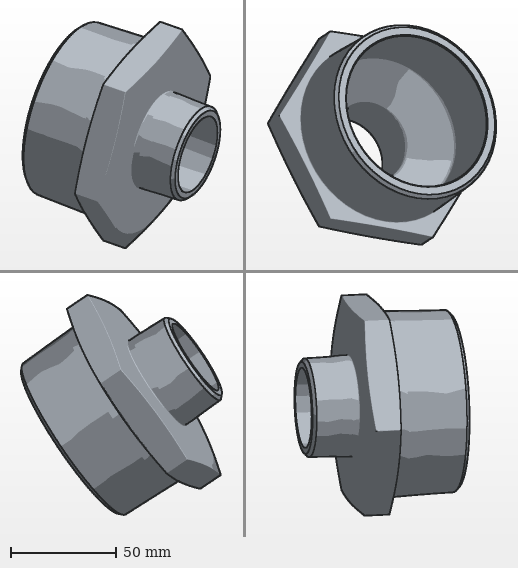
import cadquery as cq
import math


LENGTH = 72.0
HEX_START = 34.5
HEX_END = 49.4
BIG_TAPER_END = 30.0
SMALL_TAPER_START = 53.0

HEX_SIDES = 6
ACROSS_FLATS = 95.0
HEX_FACE_RADIUS = 46.9
HEX_BEVEL_ANGLE = 10
HEX_CORNER_FILLET = 0.4
HEX_BEVEL_FILLET = 0.3

BIG_RADIUS = 88.5 / 2
BIG_TIP_RADIUS = 43.4
SMALL_RADIUS = 48.2 / 2
SMALL_TIP_RADIUS = 23.5
TIP_CHAMFER = 1.6
ROOT_FILLET = 0.5

WIDE_BORE_RADIUS = 75.0 / 2
NARROW_BORE_RADIUS = 38.0 / 2
WIDE_BORE_DEPTH = 32.6
CONE_ANGLE = 51
BORE_FILLET = 2.2
BORE_ENTRY_CHAMFER = 0.4


def revolve_about_x(outline):
    """Turn an (x, radius) outline a full revolution about the X axis."""
    return outline.close().revolve(360, (0, 0, 0), (1, 0, 0))


def make_spigots():
    """Both tapered spigots as one body that passes through the hexagon."""
    middle = (HEX_START + HEX_END) / 2
    outline = (
        cq.Workplane("XY")
        .lineTo(0, BIG_TIP_RADIUS - TIP_CHAMFER)
        .lineTo(TIP_CHAMFER, BIG_TIP_RADIUS)
        .lineTo(BIG_TAPER_END, BIG_RADIUS)
        .lineTo(HEX_START - ROOT_FILLET, BIG_RADIUS)
        .radiusArc((HEX_START, BIG_RADIUS + ROOT_FILLET), -ROOT_FILLET)
        .lineTo(middle, BIG_RADIUS + ROOT_FILLET)
        .lineTo(middle, SMALL_RADIUS + ROOT_FILLET)
        .lineTo(HEX_END, SMALL_RADIUS + ROOT_FILLET)
        .radiusArc((HEX_END + ROOT_FILLET, SMALL_RADIUS), -ROOT_FILLET)
        .lineTo(SMALL_TAPER_START, SMALL_RADIUS)
        .lineTo(LENGTH - TIP_CHAMFER, SMALL_TIP_RADIUS)
        .lineTo(LENGTH, SMALL_TIP_RADIUS - TIP_CHAMFER)
        .lineTo(LENGTH, 0)
    )
    return revolve_about_x(outline)


def make_hexagon():
    """Hexagon with rounded corners, beveled on both faces, with softened edges."""
    across_corners = ACROSS_FLATS / math.cos(math.pi / HEX_SIDES)
    prism = (
        cq.Workplane("YZ", origin=(HEX_START, 0, 0))
        .polygon(HEX_SIDES, across_corners)
        .extrude(HEX_END - HEX_START)
        .edges("|X")
        .fillet(HEX_CORNER_FILLET)
    )
    rim_radius = across_corners / 2
    bevel_depth = (rim_radius - HEX_FACE_RADIUS) * math.tan(math.radians(HEX_BEVEL_ANGLE))
    envelope = revolve_about_x(
        cq.Workplane("XY")
        .moveTo(HEX_START, 0)
        .lineTo(HEX_START, HEX_FACE_RADIUS)
        .lineTo(HEX_START + bevel_depth, rim_radius)
        .lineTo(HEX_END - bevel_depth, rim_radius)
        .lineTo(HEX_END, HEX_FACE_RADIUS)
        .lineTo(HEX_END, 0)
    )
    hexagon = prism.intersect(envelope)
    bevel_edges = hexagon.faces("%CONE").edges("not %CIRCLE")
    return bevel_edges.fillet(HEX_BEVEL_FILLET)


def make_bore():
    """Through bore whose wide and narrow cylinders blend into a cone, with a chamfered wide mouth."""
    cone_length = (WIDE_BORE_RADIUS - NARROW_BORE_RADIUS) / math.tan(math.radians(CONE_ANGLE))
    cone_end = WIDE_BORE_DEPTH + cone_length
    bore = revolve_about_x(
        cq.Workplane("XY")
        .lineTo(0, WIDE_BORE_RADIUS + BORE_ENTRY_CHAMFER)
        .lineTo(BORE_ENTRY_CHAMFER, WIDE_BORE_RADIUS)
        .lineTo(WIDE_BORE_DEPTH, WIDE_BORE_RADIUS)
        .lineTo(cone_end, NARROW_BORE_RADIUS)
        .lineTo(LENGTH, NARROW_BORE_RADIUS)
        .lineTo(LENGTH, 0)
    )
    cone_edges = bore.faces("%CONE").faces(">X").edges("%CIRCLE")
    return cone_edges.fillet(BORE_FILLET)


result = make_spigots().union(make_hexagon()).cut(make_bore())